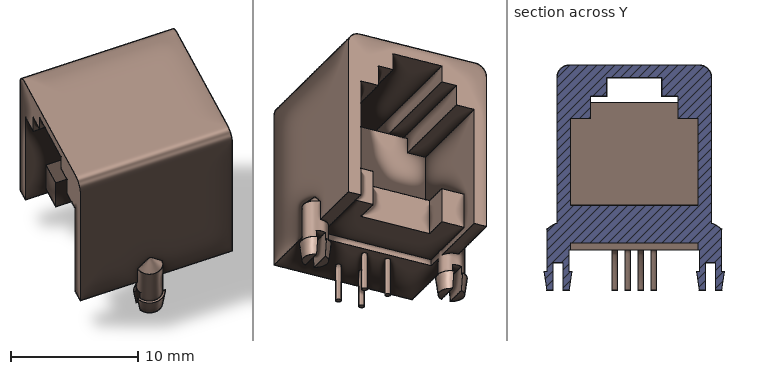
import cadquery as cq

body_width = 12.18
body_depth = 13.0
body_height = 14.57
top_edge_radius = 1.0
standoff_length = 3.18

opening_steps = [(10.0, 10.34), (6.87, 12.1), (4.29, 13.54)]
cavity_width = opening_steps[0][0]

rear_block_front = 8.5
rear_block_height = 11.63

floor_bottom = 0.54
floor_top = 3.54
floor_front = 3.87
arm_front = 1.75
arm_gap = 6.05
base_front = 7.5

pin_diameter = 0.45
pin_count = 4
pin_pitch = 1.02
front_row_y = 8.23
row_spacing = 2.54

peg_x = 6.0
peg_y = 5.95
peg_radius = 2.1 / 2
peg_shoulder_z = 1.65
peg_tip_height = 1.0
barb_radius = 1.25
barb_top_z = -1.69
peg_slot_width = 0.77
peg_slot_top_z = -1.02


def centred_block(width, y_range, z_range):
    """Box centred on x = 0 that spans the given y and z ranges."""
    (y0, y1), (z0, z1) = y_range, z_range
    block = cq.Workplane("XY").box(width, y1 - y0, z1 - z0, centered=(True, False, False))
    return block.translate((0, y0, z0))


def make_shell():
    """Outer housing with rounded top edges and the stepped opening cut right through."""
    shell = centred_block(body_width, (0, body_depth), (0, body_height))
    shell = shell.edges("|Y and >Z").fillet(top_edge_radius)
    for width, ceiling in opening_steps:
        shell = shell.cut(centred_block(width, (0, body_depth), (0, ceiling)))
    return shell


def make_interior():
    """Rear fill, its base and the raised floor with the gap between its arms.

    The fill's upper corners merge into the housing above the widest step of the opening.
    """
    rear_block = centred_block(cavity_width, (rear_block_front, body_depth), (0, rear_block_height))
    base = centred_block(cavity_width, (base_front, body_depth), (0, floor_bottom))
    floor_levels = (floor_bottom, floor_top)
    floor = centred_block(cavity_width, (arm_front, body_depth), floor_levels)
    floor = floor.cut(centred_block(arm_gap, (arm_front, floor_front), floor_levels))
    return rear_block.union(base).union(floor)


def make_pin(index):
    """Straight round contact pin, with odd pins in the front row."""
    x = (index - (pin_count - 1) / 2) * pin_pitch
    y = front_row_y if index % 2 else front_row_y + row_spacing
    pin = cq.Workplane("XY").circle(pin_diameter / 2).extrude(standoff_length + floor_bottom)
    return pin.translate((x, y, -standoff_length))


def make_peg(side):
    """Revolved peg with a conical tip and a tapered barb, split by a slot along Y."""
    peg = (
        cq.Workplane("XZ")
        .moveTo(0, -standoff_length)
        .lineTo(peg_radius, -standoff_length)
        .lineTo(barb_radius, barb_top_z)
        .lineTo(peg_radius, barb_top_z)
        .lineTo(peg_radius, peg_shoulder_z)
        .lineTo(0, peg_shoulder_z + peg_tip_height)
        .close()
        .revolve(360, (0, 0, 0), (0, 1, 0))
    )
    slot = centred_block(
        peg_slot_width, (-barb_radius, barb_radius), (-standoff_length, peg_slot_top_z)
    )
    return peg.cut(slot).translate((side * peg_x, peg_y, 0))


result = make_shell().union(make_interior())
for pin_index in range(pin_count):
    result = result.union(make_pin(pin_index))
for peg_side in (-1, 1):
    result = result.union(make_peg(peg_side))